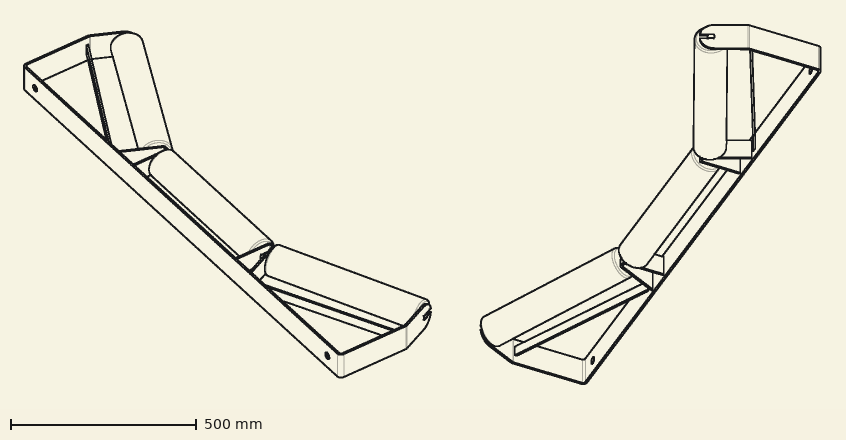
import cadquery as cq
import math


frame_length = 1490.0
bar_width = 80.0
bar_thickness = 6.0
frame_bend_radius = 12.0
upright_height = 219.0
mount_hole_diameter = 20.0
mount_hole_inset = 60.0

roller_diameter = 90.0
roller_length = 465.0
roller_edge_radius = 5.0
roller_end_gap = 5.0
shaft_overhang = 1.0
shaft_diameter = 20.0
shaft_flat_width = 13.0
trough_angle = 25.0
side_seat_distance = 101.0
middle_axis_height = 100.0
tip_length = 31.0

bracket_height = 127.0
bracket_width = 60.0
bracket_bend_radius = 7.0
brace_width = 30.0
brace_upright_height = 213.0
brace_base_x = -325.0

half_frame = frame_length / 2
half_bar = bar_width / 2
support_distance = roller_length / 2 + roller_end_gap + bar_thickness
shaft_half_length = support_distance + shaft_overhang
lean_x = math.sin(math.radians(trough_angle))
lean_y = math.cos(math.radians(trough_angle))
side_center_x = -half_frame + side_seat_distance * lean_x + support_distance * lean_y
side_center_y = upright_height + side_seat_distance * lean_y - support_distance * lean_x

left_place = cq.Location(cq.Vector(side_center_x, side_center_y, 0), cq.Vector(0, 0, 1), -trough_angle)
middle_place = cq.Location(cq.Vector(0, middle_axis_height, 0))
right_place = cq.Location(cq.Vector(-side_center_x, side_center_y, 0), cq.Vector(0, 0, 1), trough_angle)


def round_bend(bar, bend, radius):
    """Fillet the edge along Z that stands at the bend point."""
    corner = cq.selectors.NearestToPointSelector((*bend, 0))
    return bar.edges("|Z").edges(corner).fillet(radius)


def bent_bar(path, width, bend_radius):
    """Flat bar whose outer face follows a path that turns left at every bend; the thickness lies inside."""
    normals = []
    for (x0, y0), (x1, y1) in zip(path, path[1:]):
        length = math.hypot(x1 - x0, y1 - y0)
        normals.append(((y0 - y1) / length, (x1 - x0) / length))
    inner = []
    for index, (x, y) in enumerate(path):
        ax, ay = normals[max(index - 1, 0)]
        bx, by = normals[min(index, len(normals) - 1)]
        mitre = bar_thickness / (1 + ax * bx + ay * by)
        inner.append((x + mitre * (ax + bx), y + mitre * (ay + by)))
    outline = list(path) + inner[::-1]
    bar = cq.Workplane("XY", origin=(0, 0, -width / 2)).polyline(outline).close().extrude(width)
    for outer_bend, inner_bend in list(zip(path, inner))[1:-1]:
        bar = round_bend(bar, outer_bend, bend_radius)
        bar = round_bend(bar, inner_bend, bend_radius - bar_thickness)
    return bar


def axial_cylinder(diameter, length):
    """Cylinder along X, centred on the origin."""
    return cq.Workplane("YZ", origin=(-length / 2, 0, 0)).circle(diameter / 2).extrude(length)


def shaft_bar():
    """Shaft with two flats, in roller coordinates."""
    bar = axial_cylinder(shaft_diameter, 2 * shaft_half_length)
    return bar.intersect(cq.Workplane("XY").box(2 * shaft_half_length, shaft_diameter, shaft_flat_width))


def make_roller(place):
    """Roller with rounded rims and a flatted shaft end at each side."""
    shell = axial_cylinder(roller_diameter, roller_length)
    shell = shell.edges("%CIRCLE").fillet(roller_edge_radius)
    return shell.union(shaft_bar()).val().moved(place)


def seat_cutter(place):
    """Open slots that drop the flatted shaft ends into their supports."""
    channel_height = roller_diameter / 2
    channel = cq.Workplane("XY").box(2 * shaft_half_length, channel_height, shaft_flat_width)
    channel = channel.translate((0, channel_height / 2, 0))
    return cq.Workplane(channel.union(shaft_bar()).val().moved(place))


def tip_cutter(place):
    """Material outside the rounded tip of a leaning plate, above the centre of the tip arc."""
    arc_center = tip_length - half_bar
    span = 2 * shaft_half_length
    block = cq.Workplane("XY").box(span, bar_width, 2 * bar_width)
    block = block.translate((0, arc_center + half_bar, 0))
    round_end = axial_cylinder(bar_width, span).translate((0, arc_center, 0))
    return cq.Workplane(block.cut(round_end).val().moved(place))


def make_frame():
    """Base, two uprights and two leaning end plates bent from one bar."""
    plate_length = side_seat_distance + tip_length
    tip_x = half_frame - plate_length * lean_x
    tip_y = upright_height + plate_length * lean_y
    path = [
        (-tip_x, tip_y),
        (-half_frame, upright_height),
        (-half_frame, 0),
        (half_frame, 0),
        (half_frame, upright_height),
        (tip_x, tip_y),
    ]
    frame = bent_bar(path, bar_width, frame_bend_radius)
    for place in (left_place, right_place):
        frame = frame.cut(tip_cutter(place)).cut(seat_cutter(place))
    hole_x = half_frame - mount_hole_inset
    holes = cq.Workplane("XZ").pushPoints([(-hole_x, 0), (hole_x, 0)])
    return frame.cut(holes.circle(mount_hole_diameter / 2).extrude(-bar_thickness)).val()


def make_left_bracket():
    """Inverted U with one leg square to the left roller and one square to the middle roller."""
    seat_x = side_center_x + support_distance * lean_y
    seat_y = side_center_y - support_distance * lean_x

    def leg_x(y):
        return seat_x - bar_thickness / lean_y + (y - seat_y) * lean_x / lean_y

    middle_leg_x = -support_distance + bar_thickness
    path = [
        (middle_leg_x, bar_thickness),
        (middle_leg_x, bracket_height),
        (leg_x(bracket_height), bracket_height),
        (leg_x(0), 0),
    ]
    bracket = bent_bar(path, bracket_width, bracket_bend_radius)
    base_space = cq.Workplane("XY").box(frame_length, 2 * bar_thickness, bracket_width)
    bracket = bracket.cut(base_space)
    return bracket.cut(seat_cutter(left_place)).cut(seat_cutter(middle_place)).val()


def make_left_brace():
    """Diagonal bar from the upright down to the base, mitred flush against both."""
    upright_x = -half_frame + bar_thickness
    run = brace_base_x - upright_x
    rise = brace_upright_height - bar_thickness
    slope_length = math.hypot(run, rise)
    outline = [
        (upright_x, brace_upright_height),
        (brace_base_x, bar_thickness),
        (brace_base_x - bar_thickness * slope_length / rise, bar_thickness),
        (upright_x, brace_upright_height - bar_thickness * slope_length / run),
    ]
    bottom = cq.Workplane("XY", origin=(0, 0, -brace_width / 2))
    return bottom.polyline(outline).close().extrude(brace_width).val()


rollers = [make_roller(place) for place in (left_place, middle_place, right_place)]
frame = make_frame()
left_bracket = make_left_bracket()
brackets = [left_bracket, left_bracket.mirror("YZ")]
left_brace = make_left_brace()
braces = [left_brace, left_brace.mirror("YZ")]

result = cq.Compound.makeCompound([frame, *rollers, *brackets, *braces])